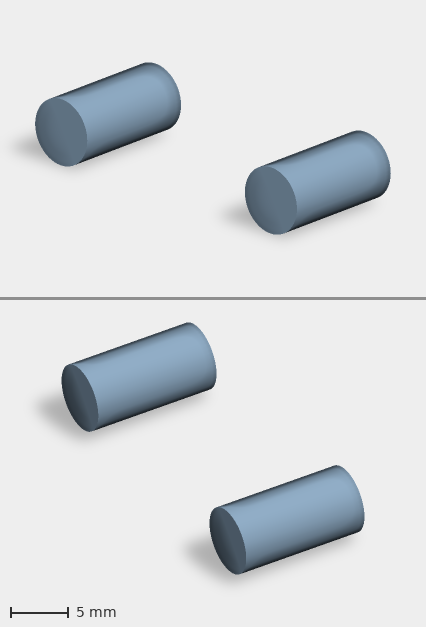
import cadquery as cq

overall_width = 30.95
pin_diameter = 6.15
pin_length = 12.0

pin_spacing = overall_width - pin_diameter


def make_pin(center_x):
    """Plain cylinder along Y, with its middle on the X axis."""
    return (
        cq.Workplane("XZ", origin=(center_x, pin_length / 2, 0))
        .circle(pin_diameter / 2)
        .extrude(pin_length)
    )


pins = [make_pin(side * pin_spacing / 2) for side in (-1, 1)]

result = cq.Compound.makeCompound([pin.val() for pin in pins])